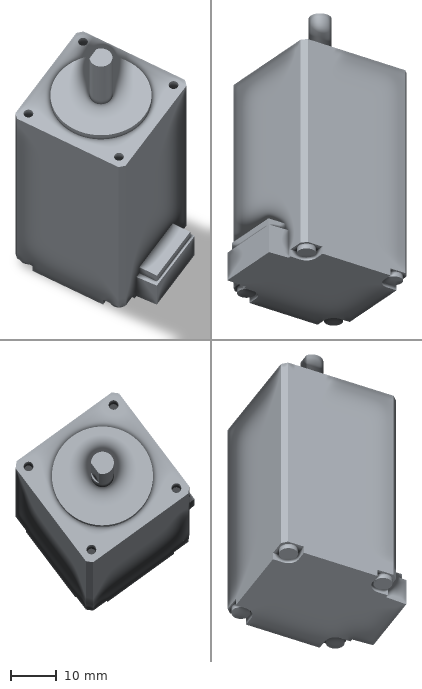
import cadquery as cq

rear_cap_height = 6.8
stator_height = 36.85
front_cap_height = 8.0
boss_height = 1.45
total_height = 66.5
front_face_z = rear_cap_height + stator_height + front_cap_height
boss_top_z = front_face_z + boss_height

frame_width = 28.0
half_frame = frame_width / 2
corner_chamfer = 1.1

boss_diameter = 22.0
mount_hole_diameter = 2.1
mount_hole_depth = 4.0
mount_hole_spacing = 23.0

recess_height = 1.7
recess_corner_radius = 2.5
recess_width = half_frame - mount_hole_spacing / 2 + recess_corner_radius
head_diameter = 4.1
head_height = 1.2

shaft_diameter = 5.0
shaft_radius = shaft_diameter / 2
flat_length = 9.9
flat_depth = 0.45

total_length_x = 33.0
connector_length = total_length_x - frame_width
connector_root_width = 16.5
connector_tip_width = 15.95
upper_block_length = 4.45
upper_block_width = 14.0
upper_block_top_z = 8.9


def frame_block(bottom_z, height):
    """Square block with chamfered vertical edges."""
    return (
        cq.Workplane("XY", origin=(0, 0, bottom_z))
        .rect(frame_width, frame_width)
        .extrude(height)
        .edges("|Z")
        .chamfer(corner_chamfer)
    )


def corner_recess(side_x, side_y):
    """Square corner cut from the rear face, with its inner vertical edge rounded."""
    center = half_frame - recess_width / 2
    inner_edge = ("<X" if side_x > 0 else ">X") + " and " + ("<Y" if side_y > 0 else ">Y")
    return (
        cq.Workplane("XY")
        .center(side_x * center, side_y * center)
        .rect(recess_width, recess_width)
        .extrude(recess_height)
        .edges("|Z and " + inner_edge)
        .fillet(recess_corner_radius)
    )


def make_rear_cap():
    """Rear cap with four corner recesses, each keeping a round screw head."""
    cap = frame_block(0, rear_cap_height)
    for side_x in (-1, 1):
        for side_y in (-1, 1):
            cap = cap.cut(corner_recess(side_x, side_y))
    heads = (
        cq.Workplane("XY", origin=(0, 0, recess_height - head_height))
        .rect(mount_hole_spacing, mount_hole_spacing, forConstruction=True)
        .vertices()
        .circle(head_diameter / 2)
        .extrude(head_height)
    )
    return cap.union(heads)


def make_stator():
    """Plain middle block between the two caps."""
    return frame_block(rear_cap_height, stator_height)


def make_front_cap():
    """Front cap with its round pilot boss and four blind mounting holes."""
    boss = (
        cq.Workplane("XY", origin=(0, 0, front_face_z))
        .circle(boss_diameter / 2)
        .extrude(boss_height)
    )
    holes = (
        cq.Workplane("XY", origin=(0, 0, front_face_z))
        .rect(mount_hole_spacing, mount_hole_spacing, forConstruction=True)
        .vertices()
        .circle(mount_hole_diameter / 2)
        .extrude(-mount_hole_depth)
    )
    return frame_block(front_face_z - front_cap_height, front_cap_height).union(boss).cut(holes)


def make_shaft():
    """Shaft standing on the boss, with the flat running down from its tip."""
    shaft = (
        cq.Workplane("XY", origin=(0, 0, boss_top_z))
        .circle(shaft_radius)
        .extrude(total_height - boss_top_z)
    )
    flat = (
        cq.Workplane("XY", origin=(0, 0, total_height - flat_length))
        .center(-shaft_radius, 0)
        .rect(2 * flat_depth, shaft_diameter)
        .extrude(flat_length)
    )
    return shaft.cut(flat)


def make_connector():
    """Connector with a tapered lower shell and a narrower block on top."""
    tip_x = half_frame + connector_length
    shell = (
        cq.Workplane("XY")
        .moveTo(half_frame, -connector_root_width / 2)
        .lineTo(tip_x, -connector_tip_width / 2)
        .lineTo(tip_x, connector_tip_width / 2)
        .lineTo(half_frame, connector_root_width / 2)
        .close()
        .extrude(rear_cap_height)
    )
    upper_block = (
        cq.Workplane("XY")
        .center(half_frame + upper_block_length / 2, 0)
        .rect(upper_block_length, upper_block_width)
        .extrude(upper_block_top_z)
    )
    return shell.union(upper_block)


rear_cap = make_rear_cap()
stator = make_stator()
front_cap = make_front_cap()
shaft = make_shaft()
connector = make_connector()

result = cq.Compound.makeCompound(
    [rear_cap.val(), stator.val(), front_cap.val(), shaft.val(), connector.val()]
)